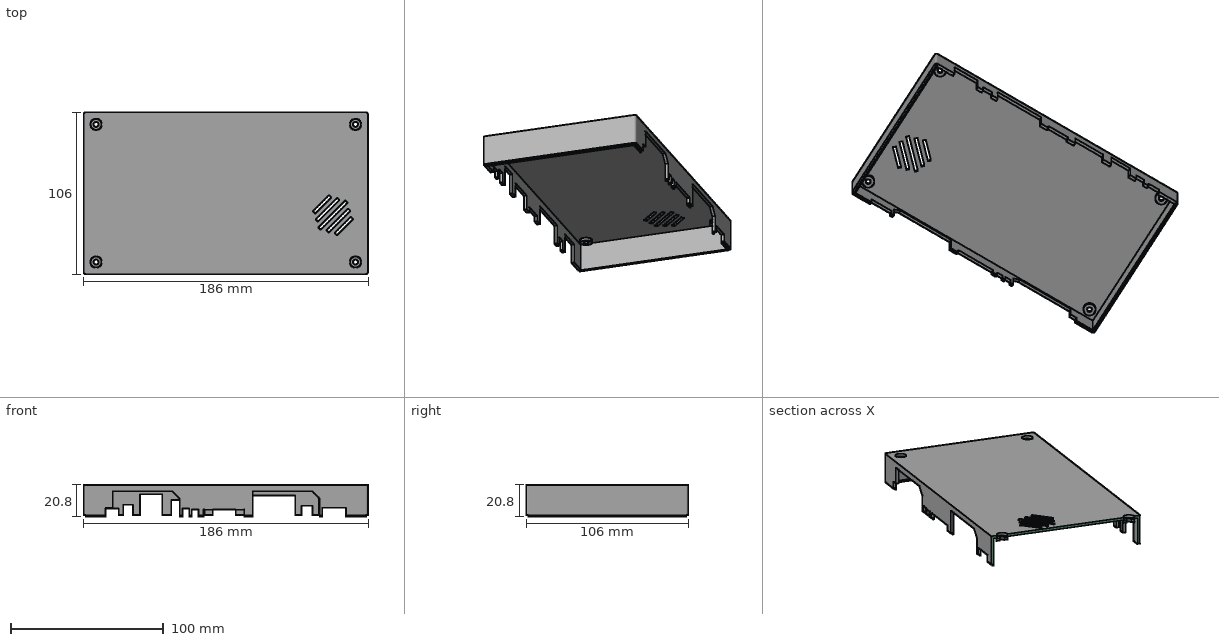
import cadquery as cq

LENGTH = 186.0
WIDTH = 106.0
HEIGHT = 20.8
WALL = 2.0
ROOF = 2.0
CORNER_RADIUS = 1.5

LIP_HEIGHT = 1.0
LIP_INSET = 1.3

SCREW_SPACING_X = 169.6
SCREW_SPACING_Y = 90.0
SCREW_DIAMETER = 3.2
HEAD_DIAMETER = 7.0
HEAD_DEPTH = ROOF
BOSS_DIAMETER = 8.0
BOSS_HEIGHT = 2.0

SPEAKER_X = 70.1
SPEAKER_Y = -14.3
SLOT_ANGLE = 45
SLOT_WIDTH = 2.0
SLOT_PITCH = 5.0
LONGEST_SLOT = 25.0
SLOT_SHORTENING = 5.0
SLOTS_EACH_SIDE = 2

FRONT_OPENINGS = [(-74.0, -30.1), (17.7, 61.4)]
OPENING_TOP = 16.7
OPENING_BEVEL = 5.0

FRONT_NOTCHES = [
    (-78.5, -74.0, 5.8),
    (-28.3, -24.0, 5.2),
    (-22.1, -17.9, 4.6),
    (-14.5, 12.0, 4.6),
    (63.2, 78.5, 5.8),
]
BACK_NOTCHES = [
    (-78.5, -70.1, 5.2),
    (-67.0, -60.8, 7.6),
    (-56.0, -41.7, 14.5),
    (-35.5, -14.0, 10.8),
    (-8.4, 6.5, 4.6),
    (12.0, 45.4, 13.8),
    (49.7, 56.5, 7.0),
    (60.8, 78.5, 13.8),
]

INNER_LENGTH = LENGTH - 2 * WALL
INNER_WIDTH = WIDTH - 2 * WALL
FRONT_Y = -WIDTH / 2
BACK_INNER_Y = WIDTH / 2 - WALL
SCREW_POINTS = [
    (side_x * SCREW_SPACING_X / 2, side_y * SCREW_SPACING_Y / 2)
    for side_x in (-1, 1)
    for side_y in (-1, 1)
]


def make_shell():
    """Open-bottomed box with a recessed lip under the front and end walls."""
    outer = (
        cq.Workplane("XY")
        .workplane(offset=LIP_HEIGHT)
        .rect(LENGTH, WIDTH)
        .extrude(HEIGHT - LIP_HEIGHT)
        .edges("|Z")
        .fillet(CORNER_RADIUS)
    )
    lip = cq.Workplane("XY").rect(LENGTH - 2 * LIP_INSET, WIDTH - 2 * LIP_INSET).extrude(LIP_HEIGHT)
    cavity = cq.Workplane("XY").rect(INNER_LENGTH, INNER_WIDTH).extrude(HEIGHT - ROOF)
    back_lip = (
        cq.Workplane("XY")
        .center(0, BACK_INNER_Y + WALL / 2)
        .rect(INNER_LENGTH, WALL)
        .extrude(LIP_HEIGHT)
    )
    return outer.union(lip).cut(cavity).cut(back_lip)


def wall_cutter(outline, start_y):
    """Extrude a closed X-Z outline through one wall, from start_y towards +Y."""
    plane = cq.Workplane("XZ", origin=(0, start_y, 0))
    return plane.polyline(outline).close().extrude(-WALL)


def notch(left, right, top, start_y):
    return wall_cutter([(left, 0), (right, 0), (right, top), (left, top)], start_y)


def bevelled_opening(left, right):
    outline = [
        (left, 0),
        (right, 0),
        (right, OPENING_TOP - OPENING_BEVEL),
        (right - OPENING_BEVEL, OPENING_TOP),
        (left, OPENING_TOP),
    ]
    return wall_cutter(outline, FRONT_Y)


def speaker_slots():
    """Parallel slots, longest in the middle, cut through the roof."""
    slots = cq.Workplane("XY", origin=(SPEAKER_X, SPEAKER_Y, HEIGHT)).transformed(rotate=(0, 0, SLOT_ANGLE))
    for step in range(-SLOTS_EACH_SIDE, SLOTS_EACH_SIDE + 1):
        slot_length = LONGEST_SLOT - SLOT_SHORTENING * abs(step)
        slots = slots.moveTo(0, step * SLOT_PITCH).rect(slot_length, SLOT_WIDTH)
    return slots.extrude(-ROOF)


def screw_bosses():
    """Short round bosses under the roof that carry the screw heads."""
    underside = cq.Workplane("XY").workplane(offset=HEIGHT - ROOF)
    return underside.pushPoints(SCREW_POINTS).circle(BOSS_DIAMETER / 2).extrude(-BOSS_HEIGHT)


case = make_shell()

for left, right in FRONT_OPENINGS:
    case = case.cut(bevelled_opening(left, right))
for left, right, top in FRONT_NOTCHES:
    case = case.cut(notch(left, right, top, FRONT_Y))
for left, right, top in BACK_NOTCHES:
    case = case.cut(notch(left, right, top, BACK_INNER_Y))

case = case.cut(speaker_slots())

result = (
    case.union(screw_bosses())
    .faces(">Z")
    .workplane(origin=(0, 0, HEIGHT))
    .pushPoints(SCREW_POINTS)
    .cboreHole(SCREW_DIAMETER, HEAD_DIAMETER, HEAD_DEPTH)
)